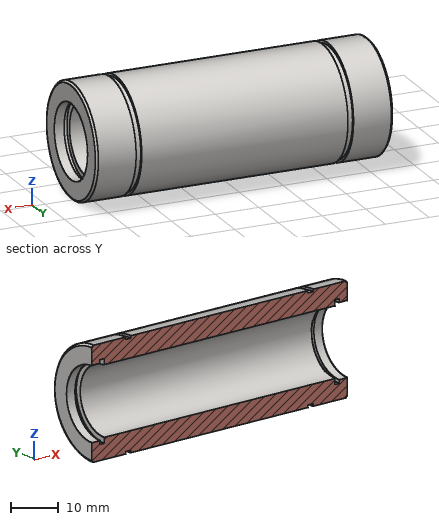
import cadquery as cq

length = 68.0
outer_diameter = 26.0
end_chamfer = 0.5

groove_diameter = 24.9
groove_width = 1.3
groove_cutter_diameter = outer_diameter + 0.7
groove_outer_spacing = 49.8

bore_diameter = 16.0
seal_diameter = 17.0
seal_depth = 2.25
undercut_diameter = 18.6
undercut_width = 1.0


def cylinder(diameter, start, width):
    """Solid cylinder running from X = start to X = start + width."""
    return cq.Workplane("YZ", origin=(start, 0, 0)).circle(diameter / 2).extrude(width)


def ring(outside, inside, start, width):
    """Hollow cylinder running from X = start to X = start + width."""
    return cylinder(outside, start, width).cut(cylinder(inside, start, width))


sleeve = cylinder(outer_diameter, -length / 2, length).faces("<X or >X").edges().chamfer(end_chamfer)
sleeve = sleeve.cut(cylinder(bore_diameter, -length / 2, length))

groove_start = -groove_outer_spacing / 2
groove = ring(groove_cutter_diameter, groove_diameter, groove_start, groove_width)
seal_recess = cylinder(seal_diameter, -length / 2, seal_depth)
undercut = cylinder(undercut_diameter, -length / 2 + seal_depth, undercut_width)

for cutter in (groove, seal_recess, undercut):
    sleeve = sleeve.cut(cutter).cut(cutter.mirror("YZ"))

result = sleeve